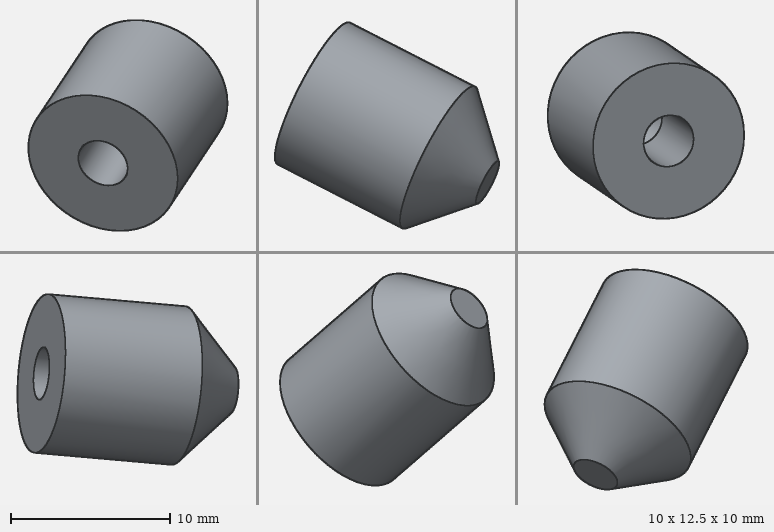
import cadquery as cq
import math

length = 12.5
body_radius = 5.0
nose_length = 3.5
nose_angle = 45.0
nose_tip_radius = body_radius - nose_length * math.tan(math.radians(nose_angle))
shoulder_y = length - nose_length

hole_radius = 1.65
hole_depth = 6.25
drill_point_angle = 90.0
drill_point_depth = hole_radius / math.tan(math.radians(drill_point_angle / 2))

profile = (
    cq.Workplane("XY")
    .moveTo(hole_radius, 0)
    .lineTo(body_radius, 0)
    .lineTo(body_radius, shoulder_y)
    .lineTo(nose_tip_radius, length)
    .lineTo(0, length)
    .lineTo(0, hole_depth + drill_point_depth)
    .lineTo(hole_radius, hole_depth)
    .close()
)

result = profile.revolve(360, (0, 0, 0), (0, 1, 0))